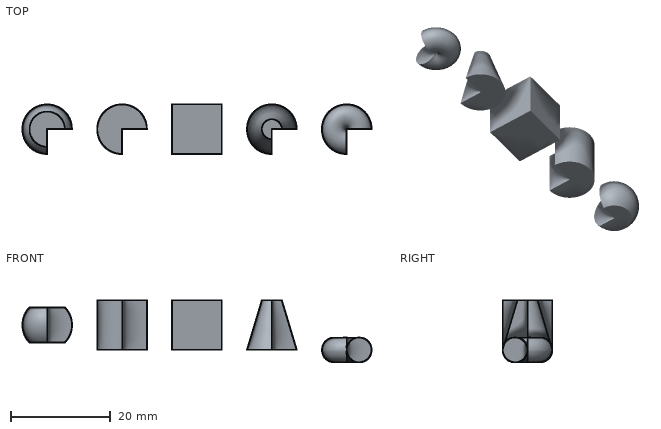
import cadquery as cq
import math

width = 10.0
radius = width / 2
height = width
pitch = 15.0
sweep_angle = 270.0

sphere_cap_angle = 45.0
cone_top_radius = 2.0
ring_tube_radius = radius / 2


def revolve_from_x(profile):
    """Sweep an XZ profile about Z, from +X through +Y and -X to -Y."""
    return profile.revolve(sweep_angle, (0, 0, 0), (0, 1, 0))


def make_sphere():
    """Partial sphere with flat top and bottom, centred at mid height."""
    mid_z = height / 2
    flat_radius = radius * math.cos(math.radians(sphere_cap_angle))
    flat_height = radius * math.sin(math.radians(sphere_cap_angle))
    profile = (
        cq.Workplane("XZ")
        .moveTo(0, mid_z - flat_height)
        .lineTo(flat_radius, mid_z - flat_height)
        .threePointArc((radius, mid_z), (flat_radius, mid_z + flat_height))
        .lineTo(0, mid_z + flat_height)
        .close()
    )
    return revolve_from_x(profile)


def make_frustum(top_radius):
    """Partial cylinder or cone standing on Z = 0."""
    outline = [(0, 0), (radius, 0), (top_radius, height), (0, height)]
    profile = cq.Workplane("XZ").polyline(outline).close()
    return revolve_from_x(profile)


def make_block():
    """Cube standing on Z = 0."""
    return cq.Workplane("XY").box(width, width, height, centered=(True, True, False))


def make_ring():
    """Partial ring of round section, centred on Z = 0, with its hole closed to a point."""
    profile = cq.Workplane("XZ").center(ring_tube_radius, 0).circle(ring_tube_radius)
    return profile.revolve(sweep_angle, (-ring_tube_radius, 0, 0), (-ring_tube_radius, 1, 0))


sphere = make_sphere().translate((-2 * pitch, 0, 0))
cylinder = make_frustum(radius).translate((-pitch, 0, 0))
block = make_block()
cone = make_frustum(cone_top_radius).translate((pitch, 0, 0))
ring = make_ring().translate((2 * pitch, 0, 0))

result = cq.Compound.makeCompound([sphere.val(), cylinder.val(), block.val(), cone.val(), ring.val()])